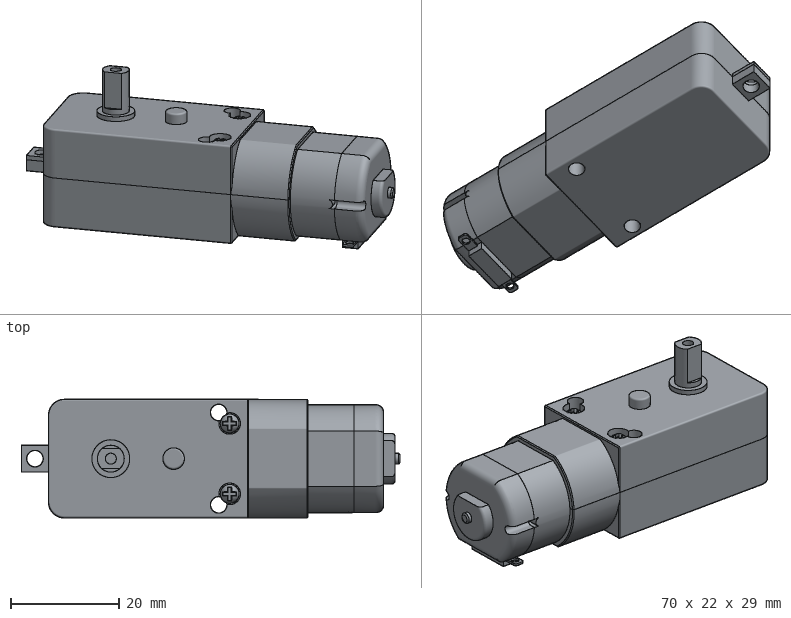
import cadquery as cq
import math


BOX_LENGTH = 37.0
BOX_WIDTH = 22.0
BOX_TOP = 9.45
BOX_BOTTOM = -9.65
CORNER_RADIUS = 3.0
RIM_RADIUS = 0.35
REAR_CHAMFER = 0.2
NOSE_END = 48.0
NOSE_TOP = 8.9
NOSE_BOTTOM = -9.6
NOSE_EDGE_RADIUS = 0.35
TONGUE_LENGTH = 5.0
TONGUE_TOP = 0.85
TONGUE_BOTTOM = -2.2
HOLE_DIAMETER = 3.0
MOUNT_HOLE_X = 31.5
MOUNT_HOLE_Y = 8.55
POST_X = 23.2
POST_DIAMETER = 4.0
POST_TOP = 11.5
POST_ROUND = 0.35

SHAFT_X = 11.55
SHAFT_BOTTOM = 0.0
SHAFT_DIAMETER = 5.0
SHAFT_TOP = 18.4
FLATS_WIDTH = 3.7
FLATS_BOTTOM = 11.4
SHAFT_BORE_DIAMETER = 2.0
COLLAR_DIAMETER = 7.0
COLLAR_TOP = 10.35

SCREW_X = 33.5
SCREW_Y = 6.5
HEAD_DIAMETER = 3.5
HEAD_RECESS_DIAMETER = 4.0
HEAD_TOP = 9.2
HEAD_RIM = 7.7
HEAD_SEAT = 7.0
SHANK_DIAMETER = 1.5
SHANK_END = -4.9
CROSS_LENGTH = 2.8
CROSS_WIDTH = 0.9
CROSS_DEPTH = 1.05
CROSS_TAPER = 10

MOTOR_AXIS_Z = -0.6
CAN_DIAMETER = 20.0
CAN_TOP = 8.0
CAN_BOTTOM = -8.7
CAP_START = 56.5
CAP_END = 62.0
CAP_ROUND = 1.5
BOSS_DIAMETER = 9.4
BOSS_TOP = 2.65
BOSS_END = 64.1
BOSS_ROUND = 0.6
AXLE_DIAMETER = 2.0
AXLE_END = 65.0
AXLE_CHAMFER = 0.3

SLOT_START = 55.5
SLOT_BULGE = 0.6
SLOT_WIDTH = 1.7
SLOT_WALL_DEPTH = 1.0
SLOT_Z = -0.4

TERMINAL_BLOCK_WIDTH = 9.2
TERMINAL_LENGTH = 3.0
TERMINAL_BOTTOM = -10.6
LUG_SPAN = 16.25
LUG_WIDTH = 2.0
LUG_THICKNESS = 0.4
LUG_CORNER_RADIUS = 0.5
LUG_HOLE_DIAMETER = 1.5
LUG_HOLE_Y = 6.7


def z_cylinder(diameter, x, y, bottom, top):
    return cq.Workplane("XY", origin=(x, y, bottom)).circle(diameter / 2).extrude(top - bottom)


def x_cylinder(diameter, start, end):
    plane = cq.Workplane("YZ", origin=(start, 0, MOTOR_AXIS_Z))
    return plane.circle(diameter / 2).extrude(end - start)


def block(start, end, width, bottom, top):
    """A box centred on Y = 0."""
    plane = cq.Workplane("XY", origin=((start + end) / 2, 0, bottom))
    return plane.rect(end - start, width).extrude(top - bottom)


def flattened_cylinder(diameter, start, end, bottom, top):
    """A cylinder along the motor axis with flats on top and bottom."""
    return x_cylinder(diameter, start, end).intersect(block(start, end, diameter, bottom, top))


def make_shaft():
    """A collared shaft whose top is narrowed by two flats and bored down to their foot."""
    radius = SHAFT_DIAMETER / 2
    shaft = z_cylinder(SHAFT_DIAMETER, SHAFT_X, 0, SHAFT_BOTTOM, FLATS_BOTTOM)
    shaft = shaft.union(z_cylinder(COLLAR_DIAMETER, SHAFT_X, 0, BOX_TOP, COLLAR_TOP))
    tip = z_cylinder(SHAFT_DIAMETER, SHAFT_X, 0, FLATS_BOTTOM, SHAFT_TOP)
    tip = tip.intersect(block(SHAFT_X - radius, SHAFT_X + radius, FLATS_WIDTH, FLATS_BOTTOM, SHAFT_TOP))
    shaft = shaft.union(tip)
    return shaft.cut(z_cylinder(SHAFT_BORE_DIAMETER, SHAFT_X, 0, FLATS_BOTTOM, SHAFT_TOP))


def screw_blank(side):
    """Dome head and shank, also used to cut the screw's hole."""
    head_radius = HEAD_DIAMETER / 2
    shank_radius = SHANK_DIAMETER / 2
    dome_height = HEAD_TOP - HEAD_RIM
    dome_radius = (head_radius**2 + dome_height**2) / (2 * dome_height)
    mid_radius = head_radius / 2
    mid_z = HEAD_TOP - dome_radius + math.sqrt(dome_radius**2 - mid_radius**2)
    return (
        cq.Workplane("XZ", origin=(SCREW_X, side * SCREW_Y, 0))
        .moveTo(0, SHANK_END)
        .lineTo(shank_radius, SHANK_END)
        .lineTo(shank_radius, HEAD_SEAT)
        .lineTo(head_radius, HEAD_SEAT)
        .lineTo(head_radius, HEAD_RIM)
        .threePointArc((mid_radius, mid_z), (0, HEAD_TOP))
        .close()
        .revolve(360, (0, 0, 0), (0, 1, 0))
    )


def make_screw(side):
    """A screw with a tapered cross recess."""
    top = cq.Workplane("XY", origin=(SCREW_X, side * SCREW_Y, HEAD_TOP))
    cross = top.rect(CROSS_LENGTH, CROSS_WIDTH).extrude(-CROSS_DEPTH, taper=CROSS_TAPER)
    cross = cross.union(top.rect(CROSS_WIDTH, CROSS_LENGTH).extrude(-CROSS_DEPTH, taper=CROSS_TAPER))
    return screw_blank(side).cut(cross)


def make_side_slot(side):
    """A round-bottomed slot whose closed end bulges into it."""
    half_width = SLOT_WIDTH / 2
    depth = SLOT_WALL_DEPTH + half_width
    rim = CAN_DIAMETER / 2
    outline = (
        cq.Workplane("XZ", origin=(0, 0, SLOT_Z))
        .moveTo(SLOT_START, -half_width)
        .threePointArc((SLOT_START + SLOT_BULGE, 0), (SLOT_START, half_width))
        .lineTo(CAP_END, half_width)
        .lineTo(CAP_END, -half_width)
        .close()
        .extrude(side * -rim)
    )
    section = (
        cq.Workplane("YZ", origin=(SLOT_START, 0, SLOT_Z))
        .moveTo(side * rim, -half_width)
        .lineTo(side * (rim - SLOT_WALL_DEPTH), -half_width)
        .threePointArc((side * (rim - depth), 0), (side * (rim - SLOT_WALL_DEPTH), half_width))
        .lineTo(side * rim, half_width)
        .close()
        .extrude(CAP_END - SLOT_START)
    )
    return outline.intersect(section)


def make_can():
    can = flattened_cylinder(CAN_DIAMETER, BOX_LENGTH, CAP_START, CAN_BOTTOM, CAN_TOP)
    for side in (-1, 1):
        can = can.cut(make_side_slot(side))
    return can


def make_terminals():
    """A base under the cap with a thin pierced lug standing out on each side."""
    end = CAP_START + TERMINAL_LENGTH
    hole_x = end - LUG_WIDTH / 2
    base = block(CAP_START, end, TERMINAL_BLOCK_WIDTH, TERMINAL_BOTTOM, CAN_BOTTOM)
    lugs = block(end - LUG_WIDTH, end, LUG_SPAN, CAN_BOTTOM - LUG_THICKNESS, CAN_BOTTOM)
    lugs = lugs.edges("|Z").fillet(LUG_CORNER_RADIUS)
    for side in (-1, 1):
        hole = z_cylinder(LUG_HOLE_DIAMETER, hole_x, side * LUG_HOLE_Y, TERMINAL_BOTTOM, CAN_BOTTOM)
        lugs = lugs.cut(hole)
    return base.union(lugs)


def make_axle():
    return x_cylinder(AXLE_DIAMETER, CAP_START, AXLE_END).faces(">X").chamfer(AXLE_CHAMFER)


def make_cap():
    """The end of the motor with its boss and terminals, bored for the axle."""
    cap = x_cylinder(CAN_DIAMETER, CAP_START, CAP_END).faces(">X").edges().fillet(CAP_ROUND)
    slab = block(CAP_START, CAP_END, CAN_DIAMETER, CAN_BOTTOM, CAN_TOP)
    cap = cap.intersect(slab.edges("|Y and >X").fillet(CAP_ROUND))
    for side in (-1, 1):
        cap = cap.cut(make_side_slot(side))
    boss = x_cylinder(BOSS_DIAMETER, CAP_END, BOSS_END).faces(">X").edges().fillet(BOSS_ROUND)
    boss = boss.intersect(block(CAP_END, BOSS_END, BOSS_DIAMETER, CAN_BOTTOM, BOSS_TOP))
    return cap.union(boss).union(make_terminals()).cut(make_axle())


def make_gearbox():
    """Both halves of the housing in one piece, with the holes and the seat for the motor."""
    box = block(0, BOX_LENGTH, BOX_WIDTH, BOX_BOTTOM, BOX_TOP)
    box = box.edges("|Z and <X").fillet(CORNER_RADIUS)
    box = box.faces("<Z or >Z").edges("not >X").fillet(RIM_RADIUS)
    box = box.faces(">X").edges().chamfer(REAR_CHAMFER)
    nose = flattened_cylinder(BOX_WIDTH, BOX_LENGTH - REAR_CHAMFER, NOSE_END, NOSE_BOTTOM, NOSE_TOP)
    nose = nose.edges("|X").fillet(NOSE_EDGE_RADIUS)
    nose = nose.faces(">X").edges().chamfer(REAR_CHAMFER)
    tongue = block(-TONGUE_LENGTH, 0, TONGUE_LENGTH, TONGUE_BOTTOM, TONGUE_TOP)
    gearbox = box.union(nose).union(tongue)

    gearbox = gearbox.cut(z_cylinder(HOLE_DIAMETER, -TONGUE_LENGTH / 2, 0, BOX_BOTTOM, BOX_TOP))
    for side in (-1, 1):
        mount_hole = z_cylinder(HOLE_DIAMETER, MOUNT_HOLE_X, side * MOUNT_HOLE_Y, BOX_BOTTOM, BOX_TOP)
        recess = z_cylinder(HEAD_RECESS_DIAMETER, SCREW_X, side * SCREW_Y, HEAD_SEAT, BOX_TOP)
        gearbox = gearbox.cut(mount_hole).cut(recess).cut(screw_blank(side))
    return gearbox.cut(flattened_cylinder(CAN_DIAMETER, BOX_LENGTH, NOSE_END, CAN_BOTTOM, CAN_TOP))


def gearbox_slice(bottom, top):
    """The part of the gearbox between two heights."""
    return make_gearbox().intersect(block(-TONGUE_LENGTH, NOSE_END, BOX_WIDTH, bottom, top))


def make_upper_housing():
    post = z_cylinder(POST_DIAMETER, POST_X, 0, BOX_TOP, POST_TOP)
    post = post.faces(">Z").edges().fillet(POST_ROUND)
    return gearbox_slice(0, BOX_TOP).union(post).cut(make_shaft())


def make_lower_housing():
    return gearbox_slice(BOX_BOTTOM, 0)


screws = [make_screw(side) for side in (-1, 1)]

result = cq.Compound.makeCompound(
    [
        make_upper_housing().val(),
        make_lower_housing().val(),
        make_shaft().val(),
        *[screw.val() for screw in screws],
        make_can().val(),
        make_cap().val(),
        make_axle().val(),
    ]
)